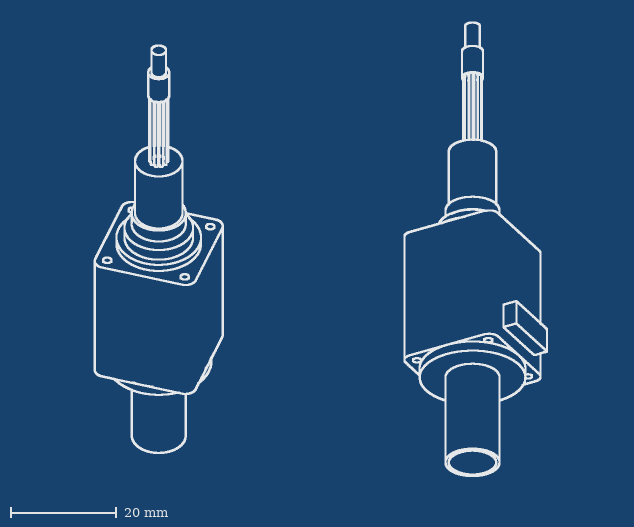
import cadquery as cq

total_height = 95.7
shaft_bottom = 0.1
flange_bottom = 18.7
flange_thickness = 2.0
box_height = 27.05
collar_height = 1.5
boss_height = 2.4
cone_height = 0.95
shaft_top = 55.3
slip_ring_top = 68.2
sleeve_bottom = 84.45
sleeve_top = 90.2

box_width = 20.0
corner_radius = 2.0
flange_diameter = box_width
collar_diameter = 16.0
boss_diameter = 13.0
screw_spacing = 15.4
screw_hole_diameter = 1.6

connector_width = 12.0
connector_depth = 2.8
connector_height = 4.9
connector_lift = 5.1

shaft_diameter = 10.25
slip_ring_diameter = 9.0

wire_count = 10
wire_ring_radius = 1.5
wire_diameter = 0.6
first_wire_angle = 90.0
sleeve_diameter = 4.0
cable_tip_diameter = 2.8

box_bottom = flange_bottom + flange_thickness
connector_bottom = flange_bottom + connector_lift
box_top = box_bottom + box_height
collar_top = box_top + collar_height
boss_top = collar_top + boss_height
cone_top = boss_top + cone_height


def cylinder(diameter, bottom, top):
    """Round bar on the Z axis between two heights."""
    return cq.Workplane("XY").workplane(offset=bottom).circle(diameter / 2).extrude(top - bottom)


def make_motor():
    """Square motor housing with its round flange, stepped collar, connector and shaft bore."""
    box = (
        cq.Workplane("XY")
        .workplane(offset=box_bottom)
        .rect(box_width, box_width)
        .extrude(box_height)
        .edges("|Z")
        .fillet(corner_radius)
    )
    screw_holes = (
        cq.Workplane("XY")
        .workplane(offset=box_bottom)
        .rect(screw_spacing, screw_spacing, forConstruction=True)
        .vertices()
        .circle(screw_hole_diameter / 2)
        .extrude(box_height)
    )
    connector = (
        cq.Workplane("XY")
        .workplane(offset=connector_bottom)
        .center(0, (box_width + connector_depth) / 2)
        .rect(connector_width, connector_depth)
        .extrude(connector_height)
    )
    cone_profile = [
        (0, boss_top),
        (boss_diameter / 2, boss_top),
        (shaft_diameter / 2, cone_top),
        (0, cone_top),
    ]
    cone = cq.Workplane("XZ").polyline(cone_profile).close().revolve(360, (0, 0, 0), (0, 1, 0))
    flange = cylinder(flange_diameter, flange_bottom, box_bottom)
    collar = cylinder(collar_diameter, box_top, collar_top)
    boss = cylinder(boss_diameter, collar_top, boss_top)
    shaft_bore = cylinder(shaft_diameter, flange_bottom, cone_top)
    outside = box.cut(screw_holes).union(connector).union(flange).union(collar).union(boss).union(cone)
    return outside.cut(shaft_bore)


def make_shaft():
    """Hollow shaft running right through the motor."""
    outside = cylinder(shaft_diameter, shaft_bottom, shaft_top)
    slip_ring_bore = cylinder(slip_ring_diameter, shaft_bottom, shaft_top)
    return outside.cut(slip_ring_bore)


def make_slip_ring():
    """Slip ring through the shaft, with its ring of wires, sleeve and cable tip."""
    wires = (
        cq.Workplane("XY")
        .workplane(offset=slip_ring_top)
        .polarArray(wire_ring_radius, first_wire_angle, 360, wire_count)
        .circle(wire_diameter / 2)
        .extrude(sleeve_bottom - slip_ring_top)
    )
    sleeve = cylinder(sleeve_diameter, sleeve_bottom, sleeve_top)
    cable_tip = cylinder(cable_tip_diameter, sleeve_top, total_height)
    body = cylinder(slip_ring_diameter, 0, slip_ring_top)
    return body.union(wires).union(sleeve).union(cable_tip)


motor = make_motor()
shaft = make_shaft()
slip_ring = make_slip_ring()

result = cq.Compound.makeCompound([motor.val(), shaft.val(), slip_ring.val()])